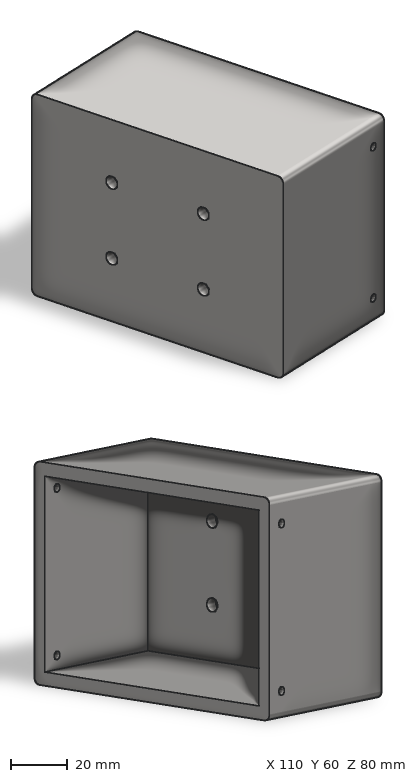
import cadquery as cq

length = 110.0
depth = 60.0
height = 80.0
wall = 5.0
edge_radius = 2.5

mount_hole_diameter = 5.0
mount_spacing_x = 40.0
mount_spacing_z = 30.0

screw_hole_diameter = 3.0
screw_spacing_z = 60.0
screw_inset = 6.5


def make_shell():
    """Box with rounded long edges, hollowed out from the +Y end."""
    body = cq.Workplane("XY").box(length, depth, height)
    body = body.edges("|Y").fillet(edge_radius)
    cavity = cq.Workplane("XY").box(length - 2 * wall, depth - wall, height - 2 * wall)
    return body.cut(cavity.translate((0, wall / 2, 0)))


def make_mount_holes():
    """Cylinders that pierce the front wall in a rectangular pattern."""
    front_face = cq.Workplane("XZ", origin=(0, -depth / 2, 0))
    pattern = front_face.rarray(mount_spacing_x, mount_spacing_z, 2, 2)
    return pattern.circle(mount_hole_diameter / 2).extrude(-wall)


def make_screw_holes():
    """Cylinders that run the full length and pierce both end walls."""
    screw_row = cq.Workplane("YZ", origin=(-length / 2, depth / 2 - screw_inset, 0))
    screw_points = [(0, -screw_spacing_z / 2), (0, screw_spacing_z / 2)]
    return screw_row.pushPoints(screw_points).circle(screw_hole_diameter / 2).extrude(length)


result = make_shell().cut(make_mount_holes()).cut(make_screw_holes())